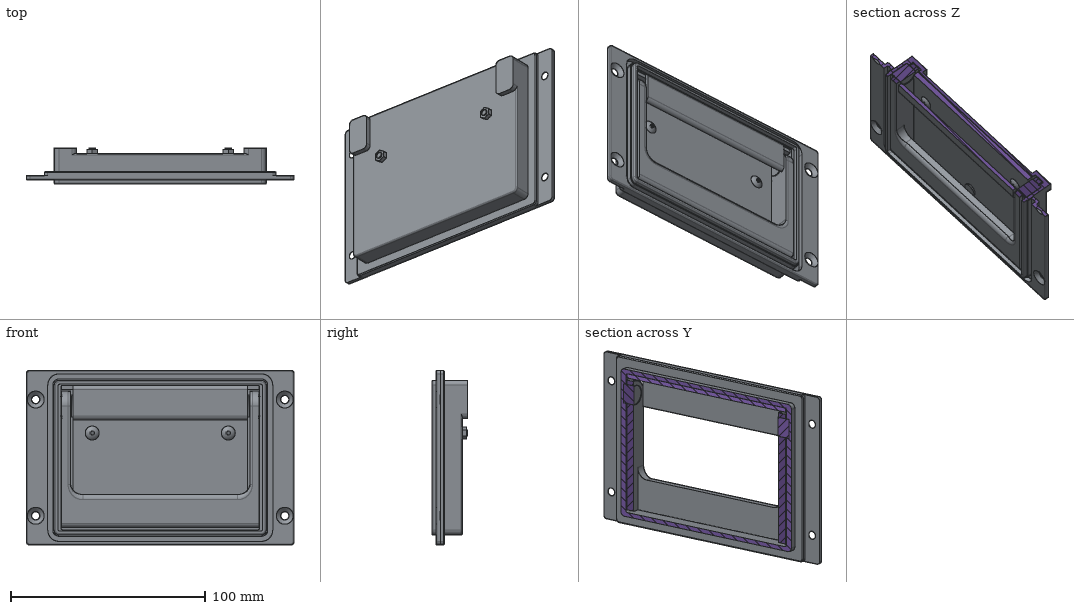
import cadquery as cq
import math


FRAME_W, FRAME_H = 138.0, 90.0
FRAME_FRONT = 2.2
PLATE_T = 2.2
FRAME_CORNER_R = 1.8
FRAME_EDGE_R = 0.5
BACKING_W = 119.5
BACKING_T = 2.1
HOLE_X, HOLE_Z = 64.2, 30.0
HOLE_D, SINK_D = 4.1, 8.7
SINK_DEPTH = 2.1
GROOVE_W = 2.6
GROOVE_DEPTH = 2.5
LIP_T = 0.7

BOX_W, BOX_H = 109.3, 79.6
BOX_DEPTH = 15.7
BOX_CORNER_R = 2.5
RIM_T = 2.0
RIM_DEPTH = 2.2
CAVITY_W, CAVITY_H = 102.4, 74.5
REAR_WALL_T = 2.0
CAVITY_R = 1.1
RIM_R = 0.7
REAR_EDGE_R = 0.7
EYE_COVER_W, EYE_COVER_H = 11.6, 19.7
EYE_COVER_DEPTH = 18.5

HANDLE_W = 101.5
HANDLE_FRONT = 0.4
ARM_REAR = 12.4
GRIP_REAR = 5.8
HANDLE_BOTTOM = -36.0
HANDLE_BOTTOM_R = 2.2
WINDOW_W = 92.5
WINDOW_BOTTOM = -18.9
WINDOW_CORNER_R = 5.8
WINDOW_EDGE_R = 3.0
EDGE_WINDOW_W = 88.9
EDGE_WINDOW_BOTTOM = -18.6
EDGE_WINDOW_CORNER_R = 4.7
EYE_R = 7.7
HINGE_Z = 26.5
EYE_CLEARANCE = 0.3
PIN_R = 5.1
PIN_PROUD = 0.4
PIN_END = 52.7

BRACKET_W = 90.0
BRACKET_FRONT = 0.8
SHEET_T = 2.2
HOOD_EDGE_R = SHEET_T - 0.07
HOOD_BOTTOM = 19.3
FLOOR_Y = 11.0
BACK_BOTTOM = -34.5
BUTTON_Z = -26.2
BUTTON_R = 3.6
BUTTON_T = 0.8

SCREW_X, SCREW_Z = 35.0, 12.7
HEAD_R, HEAD_H = 3.6, 1.7
SHANK_R = 1.7
SCREW_END = 18.5
RECESS_L, RECESS_W, RECESS_DEPTH = 2.2, 0.8, 0.8
NUT_FLATS = 5.5
NUT_T = 2.2

PLATE_REAR = FRAME_FRONT + PLATE_T
CAVITY_REAR = BOX_DEPTH - REAR_WALL_T
HINGE_Y = HANDLE_FRONT + EYE_R
SCREW_PLACES = [(-SCREW_X, SCREW_Z), (SCREW_X, SCREW_Z)]


def at_depth(y):
    """Plane facing -Y at depth y; local x is X and local y is Z."""
    return cq.Workplane("XZ", origin=(0, y, 0))


def rounded_slab(width, height, radius, y0, y1):
    """Rounded rectangle centred on the Y axis, from depth y0 back to y1."""
    return at_depth(y0).rect(width, height).extrude(y0 - y1).edges("|Y").fillet(radius)


def block(x0, x1, y0, y1, z0, z1):
    """Plain box between two opposite corners."""
    return cq.Workplane("XY").box(x1 - x0, y1 - y0, z1 - z0, centered=False).translate((x0, y0, z0))


def hinge_disc(radius, x0, x1):
    """Cylinder on the hinge axis, from x0 to x1."""
    plane = cq.Workplane("YZ", origin=(x0, HINGE_Y, HINGE_Z))
    return plane.circle(radius).extrude(x1 - x0)


def frame_ring(offset, corner_r, y0, y1):
    """Slab whose outline is the housing outline grown by offset."""
    return rounded_slab(BOX_W + 2 * offset, BOX_H + 2 * offset, corner_r, y0, y1)


def make_frame():
    plate = rounded_slab(FRAME_W, FRAME_H, FRAME_CORNER_R, FRAME_FRONT, PLATE_REAR)
    plate = plate.faces("<Y").edges().fillet(FRAME_EDGE_R)
    backing_rear = PLATE_REAR + BACKING_T
    backing = rounded_slab(BACKING_W, FRAME_H, FRAME_CORNER_R, PLATE_REAR, backing_rear)
    backing = backing.faces(">Y").edges().chamfer(FRAME_EDGE_R)
    frame = plate.union(backing)

    groove_floor = FRAME_FRONT + GROOVE_DEPTH
    lip_r = BOX_CORNER_R + LIP_T
    groove = frame_ring(LIP_T + GROOVE_W, lip_r + GROOVE_W, FRAME_FRONT, groove_floor)
    groove = groove.cut(frame_ring(LIP_T, lip_r, FRAME_FRONT, groove_floor))
    frame = frame.cut(groove).cut(frame_ring(0, BOX_CORNER_R, FRAME_FRONT, backing_rear))

    places = [(sx * HOLE_X, sz * HOLE_Z) for sx in (-1, 1) for sz in (-1, 1)]
    bores = at_depth(FRAME_FRONT).pushPoints(places).circle(HOLE_D / 2).extrude(-PLATE_T)
    sink = (
        at_depth(FRAME_FRONT).circle(SINK_D / 2)
        .workplane(offset=-SINK_DEPTH).circle(HOLE_D / 2).loft()
    )
    frame = frame.cut(bores)
    for x, z in places:
        frame = frame.cut(sink.translate((x, 0, z)))
    return frame


def make_housing():
    box = rounded_slab(BOX_W, BOX_H, BOX_CORNER_R, 0, BOX_DEPTH)
    box = box.faces("<Y").edges().fillet(RIM_R)
    box = box.faces(">Y").edges().fillet(REAR_EDGE_R)

    cover = rounded_slab(EYE_COVER_W, EYE_COVER_H, BOX_CORNER_R, PLATE_REAR, EYE_COVER_DEPTH)
    cover_x = (BOX_W - EYE_COVER_W) / 2
    cover_z = (BOX_H - EYE_COVER_H) / 2
    for side in (-1, 1):
        box = box.union(cover.translate((side * cover_x, 0, cover_z)))

    housing = box.cut(rounded_slab(CAVITY_W, CAVITY_H, CAVITY_R, 0, CAVITY_REAR))
    rim_recess = (BOX_W - 2 * RIM_T, BOX_H - 2 * RIM_T)
    housing = housing.cut(rounded_slab(*rim_recess, CAVITY_R, 0, RIM_DEPTH))

    pocket = hinge_disc(EYE_R + EYE_CLEARANCE, BRACKET_W / 2, CAVITY_W / 2)
    hinge_space = pocket.union(hinge_disc(PIN_R, BRACKET_W / 2, PIN_END))
    for space in (hinge_space, hinge_space.mirror("YZ")):
        housing = housing.cut(space)
    return housing.cut(screw_holes())


def window_cutter(width, bottom, corner_r):
    """Grip opening: round lower corners, open at the top."""
    eye_top = HINGE_Z + EYE_R
    cutter = block(-width / 2, width / 2, HANDLE_FRONT, HINGE_Y + EYE_R, bottom, eye_top)
    return cutter.edges("|Y and <Z").fillet(corner_r)


def make_handle():
    half = HANDLE_W / 2
    inner = WINDOW_W / 2
    eyes = hinge_disc(EYE_R, -half, half)
    eyes_rear = block(-half, half, HINGE_Y, HINGE_Y + EYE_R, HINGE_Z - EYE_R, HINGE_Z + EYE_R)
    body = block(-half, half, HANDLE_FRONT, ARM_REAR, HANDLE_BOTTOM, HINGE_Z)
    body = body.union(eyes.cut(eyes_rear))
    body = body.edges("|X and <Y and <Z").fillet(HANDLE_BOTTOM_R)

    body = body.cut(window_cutter(EDGE_WINDOW_W, EDGE_WINDOW_BOTTOM, EDGE_WINDOW_CORNER_R))
    front_edge = body.faces("<Y").edges("%CIRCLE").edges("<Z")
    body = body.newObject(front_edge.vals()[:1]).fillet(WINDOW_EDGE_R)
    window = window_cutter(WINDOW_W, WINDOW_BOTTOM, WINDOW_CORNER_R)
    body = body.cut(window).union(eyes.intersect(eyes_rear).cut(window))

    body = body.cut(block(-inner, inner, GRIP_REAR, ARM_REAR, HANDLE_BOTTOM, HINGE_Z - EYE_R))
    return body.cut(hinge_disc(PIN_R, -half, half))


def make_pin(side):
    """Hinge pin from the housing wall through one arm of the handle."""
    pin = hinge_disc(PIN_R, WINDOW_W / 2 - PIN_PROUD, PIN_END)
    return pin if side > 0 else pin.mirror("YZ")


def make_bracket():
    half = BRACKET_W / 2
    top = CAVITY_H / 2
    web_bottom = top - SHEET_T
    hood_rear = BRACKET_FRONT + SHEET_T

    hood = block(-half, half, BRACKET_FRONT, CAVITY_REAR, HOOD_BOTTOM, top)
    hood = hood.edges("|X and <Y").fillet(HOOD_EDGE_R)
    hood = hood.cut(block(-half, half, hood_rear, CAVITY_REAR, HOOD_BOTTOM, web_bottom))
    wing = HANDLE_W / 2
    web = block(-wing, wing, hood_rear, CAVITY_REAR, web_bottom, top)
    back = block(-half, half, FLOOR_Y, CAVITY_REAR, BACK_BOTTOM, top)
    button = at_depth(FLOOR_Y).center(0, BUTTON_Z).circle(BUTTON_R).extrude(BUTTON_T)
    bracket = hood.union(web).union(back).union(button)
    return bracket.cut(screw_holes())


def screw_holes():
    """Shank holes through the bracket and the rear wall of the housing."""
    holes = at_depth(FLOOR_Y).pushPoints(SCREW_PLACES)
    return holes.circle(SHANK_R).extrude(FLOOR_Y - BOX_DEPTH)


def make_screw(x, z):
    """Dome-headed screw with a cross recess."""
    dome_r = (HEAD_R**2 + HEAD_H**2) / (2 * HEAD_H)
    front = FLOOR_Y - HEAD_H
    dome = cq.Workplane("XY").sphere(dome_r).translate((0, front + dome_r, 0))
    head = dome.intersect(at_depth(FLOOR_Y).circle(HEAD_R).extrude(HEAD_H))
    screw = head.union(at_depth(FLOOR_Y).circle(SHANK_R).extrude(FLOOR_Y - SCREW_END))
    for length, width in ((RECESS_L, RECESS_W), (RECESS_W, RECESS_L)):
        screw = screw.cut(at_depth(front).rect(length, width).extrude(-RECESS_DEPTH))
    return screw.translate((x, 0, z))


def make_nut(x, z):
    """Hexagon nut with corners up and down."""
    corners_d = NUT_FLATS / math.cos(math.pi / 6)
    nut = at_depth(BOX_DEPTH).polygon(6, corners_d).circle(SHANK_R).extrude(-NUT_T)
    return nut.rotate((0, 0, 0), (0, 1, 0), 90).translate((x, 0, z))


frame = make_frame()
housing = make_housing()
handle = make_handle()
bracket = make_bracket()
pins = [make_pin(side) for side in (-1, 1)]
screws = [make_screw(x, z) for x, z in SCREW_PLACES]
nuts = [make_nut(x, z) for x, z in SCREW_PLACES]

bodies = [frame, housing, handle, bracket, *pins, *screws, *nuts]
result = cq.Compound.makeCompound([body.val() for body in bodies])